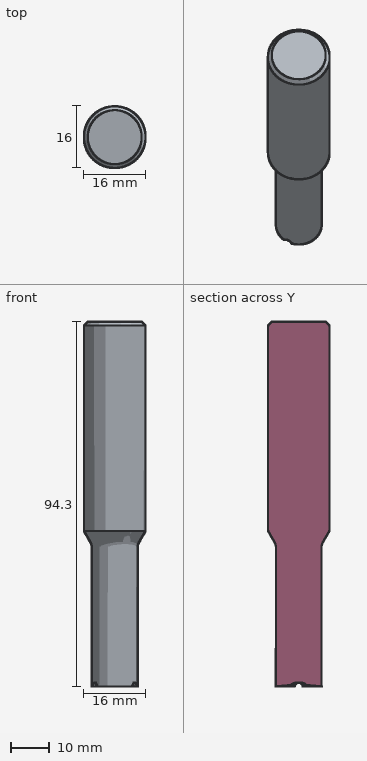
import cadquery as cq
import math

total_length = 94.3
shank_radius = 16.0 / 2
neck_radius = 12.0 / 2

shank_bottom = 40.3
taper_half_angle = math.radians(30)
neck_fillet_radius = 2.3
top_chamfer = 1.0

hollow_depth = 0.6

groove_count = 3
groove_radius = 1.0
first_groove_angle = 90.0


def make_body():
    """Revolve the stepped pin: hollow end, neck, concave fillet, taper and chamfered shank."""
    taper_height = (shank_radius - neck_radius) / math.tan(taper_half_angle)
    corner_z = shank_bottom - taper_height
    tangent_length = neck_fillet_radius * math.tan(taper_half_angle / 2)
    fillet_bottom = corner_z - tangent_length
    fillet_center_r = neck_radius + neck_fillet_radius

    def fillet_point(angle):
        return (
            fillet_center_r - neck_fillet_radius * math.cos(angle),
            fillet_bottom + neck_fillet_radius * math.sin(angle),
        )

    return (
        cq.Workplane("XZ")
        .moveTo(0, hollow_depth)
        .lineTo(neck_radius, 0)
        .lineTo(neck_radius, fillet_bottom)
        .threePointArc(fillet_point(taper_half_angle / 2), fillet_point(taper_half_angle))
        .lineTo(shank_radius, shank_bottom)
        .lineTo(shank_radius, total_length - top_chamfer)
        .lineTo(shank_radius - top_chamfer, total_length)
        .lineTo(0, total_length)
        .close()
        .revolve(360, (0, 0, 0), (0, 1, 0))
    )


def make_groove(angle):
    """Cylinder running outward from the axis, half sunk into the lower face."""
    return (
        cq.Workplane("YZ")
        .circle(groove_radius)
        .extrude(shank_radius)
        .rotate((0, 0, 0), (0, 0, 1), angle)
    )


result = make_body()
for index in range(groove_count):
    result = result.cut(make_groove(first_groove_angle + index * 360 / groove_count))